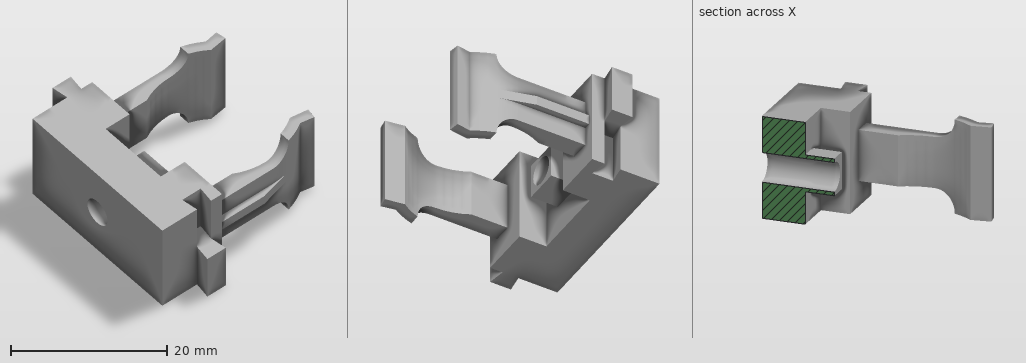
import cadquery as cq
import math

TAIL_DEPTH = 2.5
BASE_WIDTH = 30.8 - 2 * TAIL_DEPTH
BASE_DEPTH = 10.0
HEIGHT = 14.0
MID_Z = HEIGHT / 2
RECESS_WIDTH = 10.95
RECESS_FLOOR_Y = 6.0
BOSS_SIDE = 5.1
HOLE_DIAMETER = 4.0

TAIL_Y = 7.0
TAIL_NECK = 2.35
TAIL_TIP = 3.08

GRIP_Y = 20.02
GRIP_RADIUS = 9.65
ARM_THICKNESS = 1.55
OUTER_RADIUS = GRIP_RADIUS + ARM_THICKNESS
ARM_ROOT_X = 8.47
JAW_INNER_X = 7.82
JAW_OUTER_X = 9.4
LIP_INNER = (8.22, 28.4)
LIP_OUTER = (9.75, 28.15)
STEM_HEIGHT = MID_Z
JAW_HEIGHT = 12.9

RIB_X = 12.15
RIB_SHOULDER_Y = 17.77
RIB_END_Y = 22.8
RIB_HEIGHT = 1.42

ROOT_OVERLAP = 0.3


def box(x_min, x_max, y_min, y_max, z_min, z_max):
    size = (x_max - x_min, y_max - y_min, z_max - z_min)
    return cq.Workplane("XY").box(*size, centered=False).translate((x_min, y_min, z_min))


def circle_point(radius, angle):
    """Point on a circle about the grip axis; the angle is measured from +X."""
    return (radius * math.cos(angle), GRIP_Y + radius * math.sin(angle))


def base_block():
    half_width = BASE_WIDTH / 2
    half_recess = RECESS_WIDTH / 2
    half_boss = BOSS_SIDE / 2
    block = box(-half_width, half_width, 0, BASE_DEPTH, 0, HEIGHT)
    recess = box(-half_recess, half_recess, RECESS_FLOOR_Y, BASE_DEPTH, 0, HEIGHT)
    boss = box(
        -half_boss, half_boss,
        RECESS_FLOOR_Y - ROOT_OVERLAP, BASE_DEPTH,
        MID_Z - half_boss, MID_Z + half_boss,
    )
    hole = (
        cq.Workplane("XZ", origin=(0, 0, MID_Z))
        .circle(HOLE_DIAMETER / 2)
        .extrude(-BASE_DEPTH)
    )
    return block.cut(recess).union(boss).cut(hole)


def dovetail(side, direction, z_min):
    """Half-height dovetail at one end, widening outward (+1) or inward (-1)."""
    neck_x = side * BASE_WIDTH / 2
    tip_x = neck_x + side * direction * TAIL_DEPTH
    outline = [
        (neck_x, TAIL_Y - TAIL_NECK / 2),
        (tip_x, TAIL_Y - TAIL_TIP / 2),
        (tip_x, TAIL_Y + TAIL_TIP / 2),
        (neck_x, TAIL_Y + TAIL_NECK / 2),
    ]
    return cq.Workplane("XY", origin=(0, 0, z_min)).polyline(outline).close().extrude(HEIGHT / 2)


def arm_height_envelope():
    """Side outline: a narrow stem flaring through round fillets to the tall jaw."""
    half_stem = STEM_HEIGHT / 2
    half_jaw = JAW_HEIGHT / 2
    flare = half_jaw - half_stem
    flare_mid_y = GRIP_Y + flare * math.sin(math.pi / 4)
    flare_mid_z = half_jaw - flare * math.cos(math.pi / 4)
    root_y = BASE_DEPTH - ROOT_OVERLAP
    tip_y = LIP_INNER[1]
    return (
        cq.Workplane("YZ", origin=(0, 0, MID_Z))
        .moveTo(root_y, -half_stem)
        .lineTo(GRIP_Y, -half_stem)
        .threePointArc((flare_mid_y, -flare_mid_z), (GRIP_Y + flare, -half_jaw))
        .lineTo(tip_y, -half_jaw)
        .lineTo(tip_y, half_jaw)
        .lineTo(GRIP_Y + flare, half_jaw)
        .threePointArc((flare_mid_y, flare_mid_z), (GRIP_Y, half_stem))
        .lineTo(root_y, half_stem)
        .close()
        .extrude(RIB_X)
    )


def right_arm():
    root_y = BASE_DEPTH - ROOT_OVERLAP
    root_angle = -math.acos(ARM_ROOT_X / GRIP_RADIUS)
    jaw_inner_angle = math.acos(JAW_INNER_X / GRIP_RADIUS)
    jaw_outer_angle = math.acos(JAW_OUTER_X / OUTER_RADIUS)
    strip = (
        cq.Workplane("XY")
        .moveTo(OUTER_RADIUS, root_y)
        .lineTo(OUTER_RADIUS, GRIP_Y)
        .threePointArc(
            circle_point(OUTER_RADIUS, jaw_outer_angle / 2),
            circle_point(OUTER_RADIUS, jaw_outer_angle),
        )
        .lineTo(*LIP_OUTER)
        .lineTo(*LIP_INNER)
        .lineTo(*circle_point(GRIP_RADIUS, jaw_inner_angle))
        .threePointArc(
            circle_point(GRIP_RADIUS, 0),
            circle_point(GRIP_RADIUS, root_angle),
        )
        .lineTo(ARM_ROOT_X, root_y)
        .close()
        .extrude(HEIGHT)
    )
    rib_end_angle = math.asin((RIB_END_Y - GRIP_Y) / OUTER_RADIUS)
    mid_radius = GRIP_RADIUS + ARM_THICKNESS / 2
    rib = (
        cq.Workplane("XY", origin=(0, 0, MID_Z - RIB_HEIGHT / 2))
        .moveTo(mid_radius, root_y)
        .lineTo(RIB_X, root_y)
        .lineTo(RIB_X, RIB_SHOULDER_Y)
        .lineTo(*circle_point(OUTER_RADIUS, rib_end_angle))
        .lineTo(mid_radius, GRIP_Y)
        .close()
        .extrude(RIB_HEIGHT)
    )
    return strip.intersect(arm_height_envelope()).union(rib)


result = base_block()

for side, tail_z, socket_z in ((1, 0, MID_Z), (-1, MID_Z, 0)):
    result = result.cut(dovetail(side, -1, socket_z))
    result = result.union(dovetail(side, 1, tail_z))

arm = right_arm()
result = result.union(arm).union(arm.mirror("YZ"))